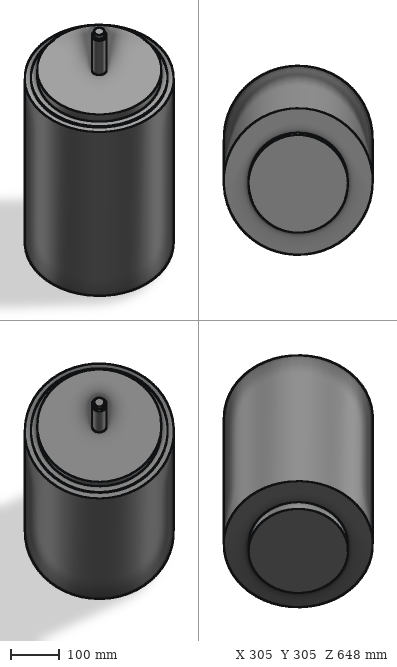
import cadquery as cq

foot_diameter = 203.5
foot_height = 26.0
body_diameter = 305.0
body_height = 483.0
step_diameter = 280.0
step_height = 4.0
cap_diameter = 254.0
cap_height = 21.5
shaft_diameter = 30.5
shaft_height = 101.0
tip_diameter = 21.0
total_height = 648.0
tip_height = total_height - (foot_height + body_height + step_height + cap_height + shaft_height)


def add_cylinder(part, diameter, height):
    """Stack a coaxial cylinder on the top face of the part."""
    return part.faces(">Z").workplane().circle(diameter / 2).extrude(height)


result = cq.Workplane("XY").circle(foot_diameter / 2).extrude(foot_height)
for diameter, height in [
    (body_diameter, body_height),
    (step_diameter, step_height),
    (cap_diameter, cap_height),
    (shaft_diameter, shaft_height),
    (tip_diameter, tip_height),
]:
    result = add_cylinder(result, diameter, height)